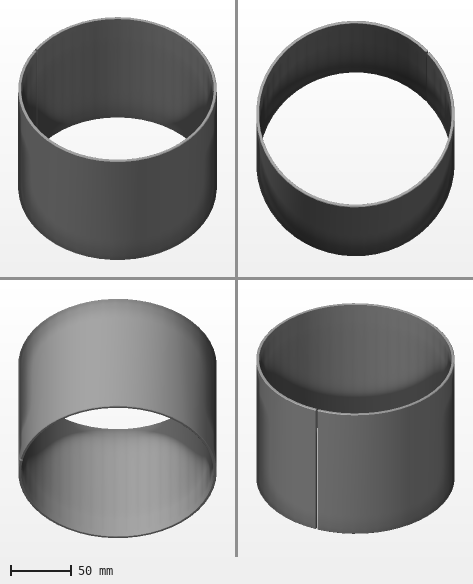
import cadquery as cq

outer_diameter = 165.0
height = 120.0
wall = 2.5
outer_chamfer = 0.48
inner_chamfer = 0.25
slit_width = 1.5

outer_radius = outer_diameter / 2
inner_radius = outer_radius - wall


def make_sleeve():
    """Thin tube centred on Z, revolved from -X, with chamfered rims inside and outside."""
    wall_profile = (
        cq.Workplane("XZ")
        .moveTo(-outer_radius, outer_chamfer)
        .lineTo(-outer_radius, height - outer_chamfer)
        .lineTo(-outer_radius + outer_chamfer, height)
        .lineTo(-inner_radius - inner_chamfer, height)
        .lineTo(-inner_radius, height - inner_chamfer)
        .lineTo(-inner_radius, inner_chamfer)
        .lineTo(-inner_radius - inner_chamfer, 0)
        .lineTo(-outer_radius + outer_chamfer, 0)
        .close()
    )
    return wall_profile.revolve(360, (0, 0, 0), (0, 1, 0))


def make_slit():
    """Full-height cutter through the -X wall, with one face on the XZ plane."""
    cutter = cq.Workplane("XY").box(outer_radius, slit_width, height, centered=False)
    return cutter.translate((-outer_radius, 0, 0))


result = make_sleeve().cut(make_slit())